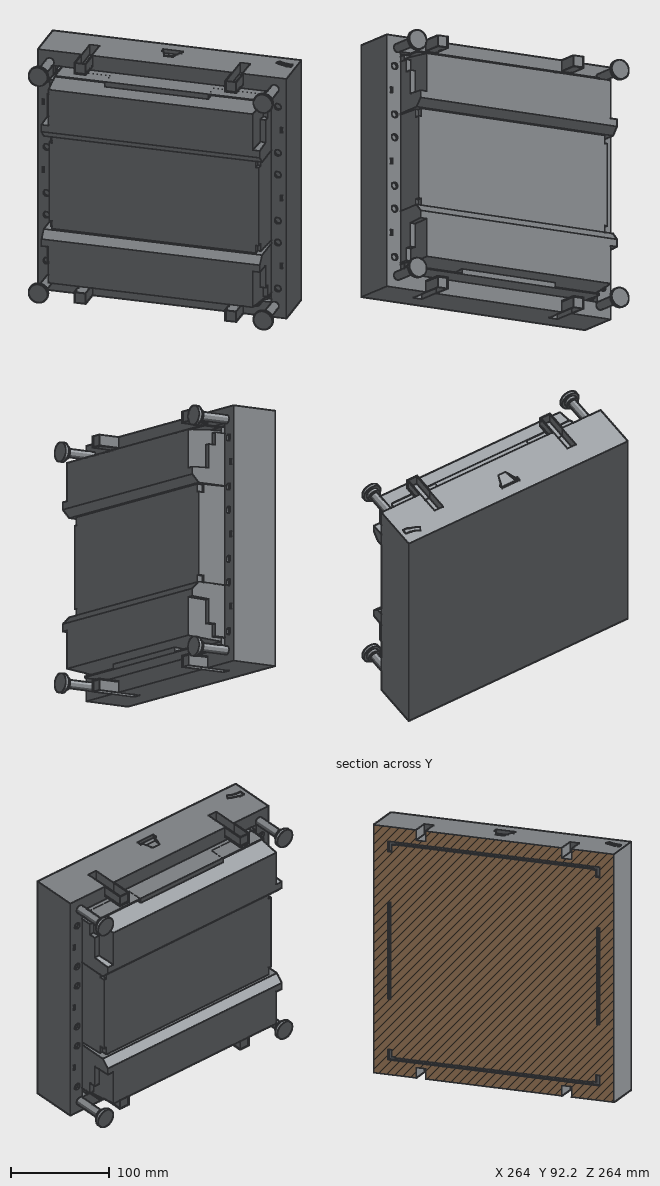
import cadquery as cq

side = 264.0
half_side = side / 2
housing_depth = 51.5

opening_half = 116.0
opening_depth = 8.0
flange_inner_z = 104.8
flange_half_width = 112.2
flange_half_height = 112.8
flange_thickness = 1.3

ledge_half_width = 108.3
ledge_depth = 19.5
ledge_top_z = 113.5
ledge_bottom_z = 112.5
ledge_corner = 2.6
lip_half_width = 55.0
lip_bottom_z = 108.0

cover_depth = 40.0
bar_inner_z = 51.2
bar_chamfer = 8.0
shelf_depth = 19.3
shelf_z = 92.5
shelf_low_z = 68.0
shelf_front_z = 66.8
step_depth = 11.5
step_z = 105.5
block_base_half_width = 112.2
block_front_half_width = 108.5
block_base_z = 109.9
block_front_z = 106.5
block_inner_z = 59.5

panel_depth = 28.5
panel_base_half_width = 113.5
panel_front_half_width = 111.2
notch_inner_half_width = 108.3
notch_floor_depth = 22.5
notch_inner_z = 43.0

latch_x = 80.0
latch_width = 12.1
latch_height = 12.0
latch_depth = 23.8
latch_wall = 0.92
slot_length = 27.0

hole_x = 122.8
hole_radius = 3.5
hole_depth = 2.6
hole_row_z = 74.7
hole_offsets = (-25.4, 25.4)
pocket_x = 126.5
pocket_width = 2.0
pocket_height = 5.5

recess_back = 13.7
recess_mid = 18.8
recess_front = 31.2
recess_width = 21.0
recess_depth = 4.2
ramp_back_width = 17.2
ramp_front_width = 8.7

mark_depth = 0.8
mark_back_arc = [(112.0, 9.2), (115.7, 11.5), (121.2, 13.0)]
mark_front_arc = [(121.2, 18.2), (115.0, 16.5), (109.5, 13.7)]
square_center = (123.9, 16.5)
square_size = 5.8

screw_place = 119.5
shank_radius = 4.5
collar_radius = 6.9
collar_start = 33.0
head_radius = 10.0
head_start = 37.0
screw_length = 40.7


def box(x_range, depth_range, z_range):
    """Box between two X values, two outward depths and two Z values."""
    size = [abs(r[1] - r[0]) for r in (x_range, depth_range, z_range)]
    corner = (min(x_range), -max(depth_range), min(z_range))
    return cq.Workplane("XY").box(*size, centered=False).translate(corner)


def drafted_block(base_half, front_half, base_top, front_top, base_bottom, front_bottom, depth):
    """Block that tapers from a base on the floor of the opening to a front face at the given depth."""
    def section(plane, half, top, bottom):
        return plane.moveTo(-half, bottom).lineTo(half, bottom).lineTo(half, top).lineTo(-half, top).close()

    base = section(cq.Workplane("XZ", origin=(0, opening_depth, 0)), base_half, base_top, base_bottom)
    front_plane = base.workplane(offset=opening_depth + depth)
    return section(front_plane, front_half, front_top, front_bottom).loft(ruled=True)


def both_ends(upper):
    """The given upper feature together with its mirror image at the lower end."""
    return upper.union(upper.mirror("XY"))


def make_opening():
    return box((-opening_half, opening_half), (-opening_depth, 0), (-opening_half, opening_half))


def make_flange():
    return box(
        (-flange_half_width, flange_half_width),
        (-opening_depth, flange_thickness),
        (flange_inner_z, flange_half_height),
    )


def make_cover_bar():
    profile = [
        (-opening_depth, bar_inner_z),
        (cover_depth - bar_chamfer, bar_inner_z),
        (cover_depth, bar_inner_z + bar_chamfer),
        (cover_depth, shelf_front_z),
        (shelf_depth, shelf_low_z),
        (shelf_depth, shelf_z),
        (step_depth, shelf_z),
        (step_depth, step_z),
        (-opening_depth, step_z),
    ]
    bar = (
        cq.Workplane("YZ")
        .polyline([(-depth, z) for depth, z in profile])
        .close()
        .extrude(opening_half, both=True)
    )
    block = drafted_block(
        block_base_half_width, block_front_half_width,
        block_base_z, block_front_z,
        block_inner_z, block_inner_z,
        cover_depth,
    )
    return bar.union(block)


def make_ledge():
    ledge = box(
        (-ledge_half_width, ledge_half_width), (-opening_depth, ledge_depth), (ledge_bottom_z, ledge_top_z)
    ).edges("|Z and <Y").fillet(ledge_corner)
    lip = box((-lip_half_width, lip_half_width), (0, ledge_depth), (lip_bottom_z, ledge_bottom_z))
    return ledge.union(lip)


def make_panel():
    panel = drafted_block(
        panel_base_half_width, panel_front_half_width,
        bar_inner_z, bar_inner_z,
        -bar_inner_z, -bar_inner_z,
        panel_depth,
    )
    for x_sign in (-1, 1):
        x_range = (x_sign * notch_inner_half_width, x_sign * half_side)
        notch = box(x_range, (notch_floor_depth, panel_depth), (notch_inner_z, bar_inner_z))
        panel = panel.cut(both_ends(notch))
    return panel


def make_latch(x):
    return box(
        (x - latch_width / 2, x + latch_width / 2), (0, latch_depth), (half_side - latch_height, half_side)
    )


def make_latch_slot(x):
    half_width = latch_width / 2 - latch_wall
    return box(
        (x - half_width, x + half_width),
        (-slot_length, latch_depth - latch_wall),
        (half_side - latch_height + latch_wall, half_side),
    )


def make_strip_holes():
    points = [
        (x, row * hole_row_z + offset)
        for x in (-hole_x, hole_x)
        for row in (-1, 0, 1)
        for offset in hole_offsets
    ]
    holes = cq.Workplane("XZ").pushPoints(points).circle(hole_radius).extrude(-hole_depth)
    pocket_points = [(x, row * hole_row_z) for x in (-pocket_x, pocket_x) for row in (-1, 0, 1)]
    pockets = cq.Workplane("XZ").pushPoints(pocket_points).rect(pocket_width, pocket_height).extrude(-hole_depth)
    return holes.union(pockets)


def top_point(x, back_distance):
    """Point of the top face at the given distance from the back of the housing."""
    return (x, housing_depth - back_distance)


def make_finger_recess():
    """Flat-floored recess followed by a ramp that narrows and rises towards the front."""
    floor = box(
        (-recess_width / 2, recess_width / 2),
        (recess_back - housing_depth, recess_mid - housing_depth),
        (half_side - recess_depth, half_side),
    )
    outline = [
        top_point(-ramp_back_width / 2, recess_mid),
        top_point(ramp_back_width / 2, recess_mid),
        top_point(ramp_front_width / 2, recess_front),
        top_point(-ramp_front_width / 2, recess_front),
    ]
    plan = (
        cq.Workplane("XY", origin=(0, 0, half_side - recess_depth)).polyline(outline).close().extrude(recess_depth)
    )
    wedge = (
        cq.Workplane("YZ")
        .polyline([
            (housing_depth - recess_mid, half_side - recess_depth),
            (housing_depth - recess_mid, half_side),
            (housing_depth - recess_front, half_side),
        ])
        .close()
        .extrude(recess_width / 2, both=True)
    )
    return floor.union(plan.intersect(wedge))


def make_curved_mark():
    floor = cq.Workplane("XY", origin=(0, 0, half_side - mark_depth))
    back_start, back_middle, back_end = [top_point(*point) for point in mark_back_arc]
    front_start, front_middle, front_end = [top_point(*point) for point in mark_front_arc]
    curve = (
        floor.moveTo(*back_start)
        .threePointArc(back_middle, back_end)
        .lineTo(*front_start)
        .threePointArc(front_middle, front_end)
        .close()
        .extrude(mark_depth)
    )
    square = floor.center(*top_point(*square_center)).rect(square_size, square_size).extrude(mark_depth)
    return curve.union(square)


def make_housing():
    housing = box((-half_side, half_side), (-housing_depth, 0), (-half_side, half_side))
    housing = housing.cut(make_opening())
    for part in (make_flange(), make_cover_bar(), make_ledge()):
        housing = housing.union(both_ends(part))
    housing = housing.union(make_panel())
    for x in (-latch_x, latch_x):
        housing = housing.union(both_ends(make_latch(x))).cut(both_ends(make_latch_slot(x)))
    for pocket in (make_strip_holes(), make_finger_recess(), make_curved_mark()):
        housing = housing.cut(pocket)
    return housing


def make_screw(x, z):
    """Screw with a collar under its head, standing on the front face."""
    start = cq.Workplane("XZ").center(x, z)
    shank = start.circle(shank_radius).extrude(screw_length)
    collar = start.workplane(offset=collar_start).circle(collar_radius).extrude(screw_length - collar_start)
    head = start.workplane(offset=head_start).circle(head_radius).extrude(screw_length - head_start)
    return shank.union(collar).union(head)


housing = make_housing()
screws = [make_screw(x, z) for x in (-screw_place, screw_place) for z in (-screw_place, screw_place)]
result = cq.Compound.makeCompound([housing.val(), *[screw.val() for screw in screws]])